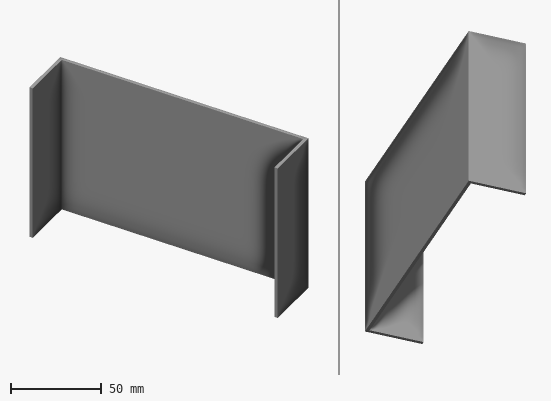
import cadquery as cq

width = 158.0
depth = 34.0
height = 100.0
wall = 2.0

inner_width = width - 2 * wall
inner_depth = depth - wall

block = cq.Workplane("XY").box(width, depth, height)

channel = cq.Workplane("XY").box(inner_width, inner_depth, height).translate((0, -wall / 2, 0))

result = block.cut(channel)